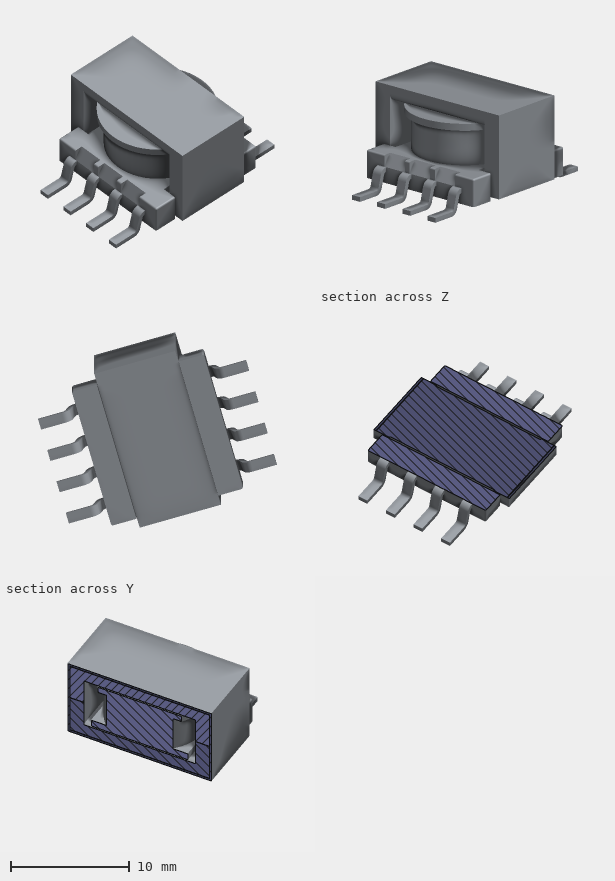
import cadquery as cq
import math


tape_length = 13.8
tape_bottom = 1.17
tape_top = 8.62
tape_thickness = 0.2
core_depth = 7.11
window_length = 10.61
bridge_thickness = 1.24
bridge_round = 0.73

base_length = 12.03
base_depth = 11.55
base_bottom = 0.82
base_top = 3.3
base_round = 0.16
core_gap = 0.04
waist_length = 9.26

winding_diameter = 9.08
flange_diameter = 10.26
flange_thickness = 0.62

pins_per_row = 4
pin_pitch = 2.8
pin_width = 0.9
pin_thickness = 0.42
pin_top = 2.25
pin_span = 18.23
pin_inner_radius = 0.3
pin_bend = math.radians(75)
groove_width = 2.28
groove_run = 0.75

core_length = tape_length - 2 * tape_thickness
core_bottom = tape_bottom + tape_thickness
core_top = tape_top - tape_thickness
core_split = (core_bottom + core_top) / 2
window_bottom = core_bottom + bridge_thickness
window_top = core_top - bridge_thickness
channel_depth = core_depth + 2 * core_gap


def block(length, depth, bottom, top):
    """Box centred on the Z axis, between two heights."""
    return cq.Workplane("XY", origin=(0, 0, bottom)).box(
        length, depth, top - bottom, centered=(True, True, False)
    )


def disc(diameter, bottom, top):
    """Cylinder on the Z axis, between two heights."""
    return cq.Workplane("XY", origin=(0, 0, bottom)).circle(diameter / 2).extrude(top - bottom)


def make_upper_core():
    """U-shaped half: a bridge with rounded lower edges, and a leg at each end."""
    bridge = block(window_length, core_depth, window_top, core_top)
    bridge = bridge.edges("|X and <Z").fillet(bridge_round)
    ends = block(core_length, core_depth, core_split, core_top)
    ends = ends.cut(block(window_length, core_depth, core_split, core_top))
    return ends.union(bridge)


def make_lower_core(upper):
    """Mirror image of the upper half, below the split plane."""
    return upper.mirror("XY", (0, 0, core_split))


def make_tape():
    """Closed band around both core halves."""
    band = block(tape_length, core_depth, tape_bottom, tape_top)
    return band.cut(block(core_length, core_depth, core_bottom, core_top))


def make_base():
    """Block with rounded outer edges, recessed for the lower core half."""
    base = block(base_length, base_depth, base_bottom, base_top)
    base = base.edges("|Z or >Z").fillet(base_round)
    bridge_channel = block(base_length, channel_depth, base_bottom, window_bottom)
    leg_slots = block(base_length, channel_depth, base_bottom, base_top)
    leg_slots = leg_slots.cut(block(waist_length, channel_depth, base_bottom, base_top))
    return base.cut(bridge_channel).cut(leg_slots)


def make_groove(x):
    """Wedge that slopes from the top of the base down to its +Y face at pin height."""
    face = base_depth / 2
    return (
        cq.Workplane("YZ", origin=(x, 0, 0))
        .moveTo(face - groove_run, base_top)
        .lineTo(face, base_top)
        .lineTo(face, pin_top)
        .close()
        .extrude(groove_width / 2, both=True)
    )


def make_pin(x):
    """Gull-wing pin that leaves the +Y face of the base and ends in a flat foot."""
    face = base_depth / 2
    start_height = pin_top - pin_thickness / 2
    foot_height = pin_thickness / 2
    radius = pin_inner_radius + pin_thickness / 2
    bend_run = radius * math.sin(pin_bend)
    bend_drop = radius * (1 - math.cos(pin_bend))
    slope_drop = start_height - foot_height - 2 * bend_drop
    slope_run = slope_drop / math.tan(pin_bend)
    slope_start = (face + bend_run, start_height - bend_drop)
    slope_end = (slope_start[0] + slope_run, slope_start[1] - slope_drop)
    foot_start = (slope_end[0] + bend_run, foot_height)
    half_bend = pin_bend / 2
    upper_middle = (
        face + radius * math.sin(half_bend),
        start_height - radius * (1 - math.cos(half_bend)),
    )
    lower_middle = (
        foot_start[0] - radius * math.sin(half_bend),
        foot_height + radius * (1 - math.cos(half_bend)),
    )
    centreline = (
        cq.Workplane("YZ", origin=(x, 0, 0))
        .moveTo(face, start_height)
        .threePointArc(upper_middle, slope_start)
        .lineTo(*slope_end)
        .threePointArc(lower_middle, foot_start)
        .lineTo(pin_span / 2, foot_height)
    )
    section = cq.Workplane("XZ", origin=(x, face, start_height)).rect(pin_width, pin_thickness)
    return section.sweep(centreline)


def centred_row(count):
    """X positions of a row at the pin pitch, centred on X = 0."""
    return [(i - (count - 1) / 2) * pin_pitch for i in range(count)]


def on_both_sides(feature):
    """The feature on the +Y side, and its mirror image on the -Y side."""
    return [feature, feature.mirror("XZ")]


def make_bobbin():
    """Base, winding, top flange and pins as one solid."""
    bobbin = make_base()
    for x in centred_row(pins_per_row - 1):
        for groove in on_both_sides(make_groove(x)):
            bobbin = bobbin.cut(groove)
    flange_bottom = window_top - flange_thickness
    bobbin = bobbin.union(disc(winding_diameter, base_top, flange_bottom))
    bobbin = bobbin.union(disc(flange_diameter, flange_bottom, window_top))
    for x in centred_row(pins_per_row):
        for pin in on_both_sides(make_pin(x)):
            bobbin = bobbin.union(pin)
    return bobbin


upper_core = make_upper_core()
lower_core = make_lower_core(upper_core)
tape = make_tape()
bobbin = make_bobbin()

bodies = [upper_core, lower_core, tape, bobbin]
result = cq.Compound.makeCompound([body.solids().val() for body in bodies])